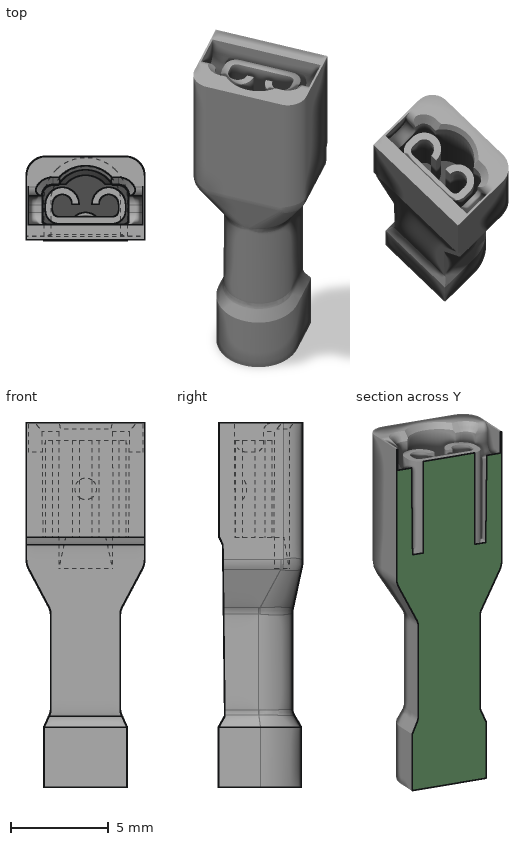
import cadquery as cq
import math

mid_offset = math.sqrt(0.5)

base_top = 3.07
flare_front_top = 3.64
neck_bottom = 3.83
neck_top = 9.05
head_bottom = 11.4
step_bottom = 12.41
step_top = 12.81
total_height = 18.67

head_half_width = 6.07 / 2
head_back = 4.31
head_corner = 1.0
neck_half_width = 1.79
neck_back = 3.8
base_half_width = 2.135
base_back = 4.25
back_flat_half = 0.03

base_front = 0.0
head_front = 0.03
lean_top_front = 0.22
lean_bottom_front = 0.32

head_blend = 1.1
neck_blend = 0.7
flare_blend = 0.6

socket_floor = step_top
socket_front = 0.8
socket_back = 2.87
socket_half_width = 2.235
socket_back_corner = 0.55
socket_front_corner = 0.25
socket_draft = 0.4
arch_radius = 1.63
arch_center_y = 1.99
arch_foot_width = 0.28
arch_foot_height = 1.6

funnel_depth = 0.44
funnel_width = 0.37
arch_funnel_width = 0.21
arch_funnel_depth = 0.31

trough_half_width = 2.93
trough_depth = 1.5
trough_back_wall = 2.29
trough_back_radius = 0.45
trough_floor_front = 1.44

contact_top = total_height - 0.9
contact_thickness = 0.36
curl_center_x = 1.19
curl_center_y = 1.86
curl_radius = 0.86
contact_corner = 0.66
contact_front = 0.86
dimple_radius = 0.8
dimple_height = 0.22
dimple_z = (socket_floor + contact_top) / 2


def section(z, half_width, back, corner):
    """Closed wire at height z: square at the front, rounded at the back corners."""
    side_end = back - corner
    flat_half = half_width - corner
    arc_mid_x = flat_half + corner * mid_offset
    arc_mid_y = side_end + corner * mid_offset
    return (
        cq.Workplane("XY", origin=(0, 0, z))
        .moveTo(-half_width, base_front)
        .lineTo(half_width, base_front)
        .lineTo(half_width, side_end)
        .threePointArc((arc_mid_x, arc_mid_y), (flat_half, back))
        .lineTo(-flat_half, back)
        .threePointArc((-arc_mid_x, arc_mid_y), (-half_width, side_end))
        .close()
        .val()
    )


def head_section(z):
    return section(z, head_half_width, head_back, head_corner)


def neck_section(z):
    return section(z, neck_half_width, neck_back, neck_half_width - back_flat_half)


def base_section(z):
    return section(z, base_half_width, base_back, base_half_width - back_flat_half)


def blend_edges(body, z, radius):
    """Round the section outline at height z, leaving the straight front edge alone."""
    margin = 0.01
    reach = 2 * head_half_width
    selector = cq.selectors.BoxSelector(
        (-reach, base_front + margin, z - margin), (reach, reach, z + margin)
    )
    return body.edges(selector).fillet(radius)


def make_body():
    wires = [
        base_section(0),
        base_section(base_top),
        neck_section(neck_bottom),
        neck_section(neck_top),
        head_section(head_bottom),
        head_section(total_height),
    ]
    body = cq.Workplane(cq.Solid.makeLoft(wires, True))
    body = blend_edges(body, head_bottom, head_blend)
    body = blend_edges(body, neck_top, neck_blend)
    body = blend_edges(body, neck_bottom, flare_blend)
    front_profile = (
        cq.Workplane("YZ")
        .moveTo(base_front, 0)
        .lineTo(base_front, base_top)
        .lineTo(lean_bottom_front, flare_front_top)
        .lineTo(lean_top_front, step_bottom)
        .lineTo(head_front, step_top)
        .lineTo(head_front, total_height)
        .lineTo(head_back, total_height)
        .lineTo(head_back, 0)
        .close()
        .extrude(head_half_width, both=True)
    )
    return body.intersect(front_profile)


def half_arch(bottom_z, bottom_radius, top_z, top_radius):
    """Half cone frustum behind the arch axis."""
    profile = (
        cq.Workplane("XZ", origin=(0, arch_center_y, 0))
        .moveTo(0, bottom_z)
        .lineTo(bottom_radius, bottom_z)
        .lineTo(top_radius, top_z)
        .lineTo(0, top_z)
        .close()
    )
    return profile.revolve(180, (0, 0, 0), (0, 1, 0))


def rounded_block(front, back, half_width, corner, depth, draft):
    """Block hanging down from the head top, narrowing with depth, with rounded back corners."""
    return (
        cq.Workplane("XY", origin=(0, (front + back) / 2, total_height))
        .sketch()
        .rect(2 * half_width, back - front)
        .vertices(">Y")
        .fillet(corner)
        .reset()
        .vertices("<Y")
        .fillet(socket_front_corner)
        .finalize()
        .extrude(-depth, taper=draft)
    )


def make_socket():
    pocket = rounded_block(
        socket_front,
        socket_back,
        socket_half_width,
        socket_back_corner,
        total_height - socket_floor,
        socket_draft,
    )
    bore = half_arch(socket_floor, arch_radius, total_height, arch_radius)
    return pocket.union(bore).union(make_foot_groove())


def make_foot_groove():
    """Groove with a sloping inner side around the foot of the arch, behind the pocket."""
    groove_floor = socket_floor - arch_foot_height
    ring = half_arch(groove_floor, arch_radius, socket_floor, arch_radius).cut(
        half_arch(groove_floor, arch_radius, socket_floor, arch_radius - arch_foot_width)
    )
    behind_pocket = cq.Workplane("XY", origin=(0, socket_back, groove_floor)).box(
        2 * arch_radius, arch_radius, arch_foot_height, centered=(True, False, False)
    )
    return ring.intersect(behind_pocket)


def make_funnel():
    funnel_draft = math.degrees(math.atan2(funnel_width, funnel_depth))
    block = rounded_block(
        socket_front,
        socket_back + funnel_width,
        socket_half_width + funnel_width,
        socket_back_corner + funnel_width,
        funnel_depth,
        funnel_draft,
    )
    arch = half_arch(
        total_height - arch_funnel_depth,
        arch_radius,
        total_height,
        arch_radius + arch_funnel_width,
    )
    return block.union(arch)


def make_trough():
    """Channel along X with a concave floor and a rounded back lip."""
    floor_z = total_height - trough_depth
    front_radius = trough_floor_front - socket_front
    radius = trough_back_radius
    floor_back = trough_back_wall - radius
    lip_y = trough_back_wall + radius
    lip_z = total_height - radius
    profile = (
        cq.Workplane("YZ")
        .moveTo(socket_front, total_height)
        .lineTo(socket_front, floor_z + front_radius)
        .threePointArc(
            (
                trough_floor_front - front_radius * mid_offset,
                floor_z + front_radius * (1 - mid_offset),
            ),
            (trough_floor_front, floor_z),
        )
        .lineTo(floor_back, floor_z)
        .threePointArc(
            (floor_back + radius * mid_offset, floor_z + radius * (1 - mid_offset)),
            (trough_back_wall, floor_z + radius),
        )
        .lineTo(trough_back_wall, lip_z)
        .threePointArc(
            (lip_y - radius * mid_offset, lip_z + radius * mid_offset),
            (lip_y, total_height),
        )
        .close()
    )
    return profile.extrude(trough_half_width, both=True)


def make_contact():
    """Flat strip whose two sides roll inward, with a dimple on the strip."""
    outer_x = curl_center_x + curl_radius
    outer_corner_x = outer_x - contact_corner
    corner_y = contact_front + contact_corner
    inner_radius = curl_radius - contact_thickness
    inner_corner = contact_corner - contact_thickness
    strip_back = contact_front + contact_thickness
    half = (
        cq.Workplane("XY", origin=(0, 0, socket_floor))
        .moveTo(0, contact_front)
        .lineTo(outer_corner_x, contact_front)
        .threePointArc(
            (outer_corner_x + contact_corner * mid_offset, corner_y - contact_corner * mid_offset),
            (outer_x, corner_y),
        )
        .lineTo(outer_x, curl_center_y)
        .threePointArc(
            (curl_center_x, curl_center_y + curl_radius),
            (curl_center_x - curl_radius, curl_center_y),
        )
        .lineTo(curl_center_x - inner_radius, curl_center_y)
        .threePointArc(
            (curl_center_x, curl_center_y + inner_radius),
            (curl_center_x + inner_radius, curl_center_y),
        )
        .lineTo(curl_center_x + inner_radius, corner_y)
        .threePointArc(
            (outer_corner_x + inner_corner * mid_offset, corner_y - inner_corner * mid_offset),
            (outer_corner_x, strip_back),
        )
        .lineTo(0, strip_back)
        .close()
        .extrude(contact_top - socket_floor)
    )
    dimple_center_y = strip_back + dimple_height - dimple_radius
    dimple = cq.Workplane("XY").sphere(dimple_radius).translate((0, dimple_center_y, dimple_z))
    dimple_room = cq.Workplane("XY").box(
        2 * dimple_radius, curl_radius, 2 * dimple_radius, centered=(True, False, True)
    )
    dimple_room = dimple_room.translate((0, contact_front, dimple_z))
    return half.union(half.mirror("YZ")).union(dimple.intersect(dimple_room))


housing = make_body().cut(make_socket()).cut(make_funnel()).cut(make_trough())
result = housing.union(make_contact())